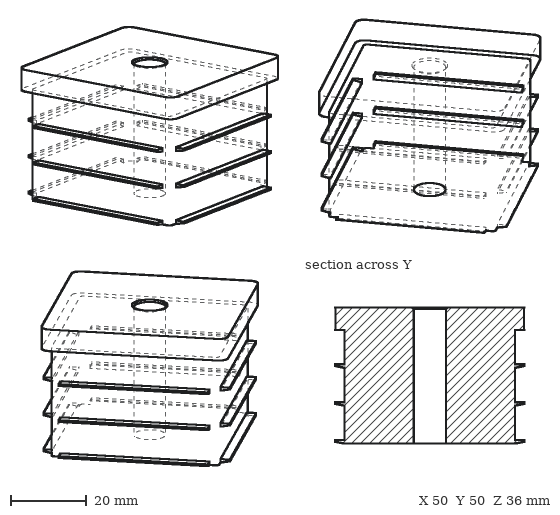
import cadquery as cq

cap_width = 50.0
cap_thickness = 6.0
cap_corner_radius = 2.5

body_width = 45.0
body_height = 30.0
body_corner_radius = 1.0

rib_length = 40.0
rib_root_thickness = 1.0
rib_tip_thickness = 0.5
rib_pitch = 10.0
rib_count = 3

hole_diameter = 8.4
hole_chamfer = 0.5

total_height = body_height + cap_thickness


def rounded_square_block(width, height, corner_radius, base_z):
    """Square block with rounded vertical edges, centred on the Z axis."""
    block = cq.Workplane("XY").workplane(offset=base_z).rect(width, width).extrude(height)
    return block.edges("|Z").fillet(corner_radius)


def rib(base_z):
    """Rib on the +Y side: flat on top, tapering underneath towards its tip."""
    root_y = body_width / 2
    tip_y = cap_width / 2
    inner_y = root_y - body_corner_radius
    top_z = base_z + rib_root_thickness
    profile = [
        (inner_y, base_z),
        (root_y, base_z),
        (tip_y, top_z - rib_tip_thickness),
        (tip_y, top_z),
        (inner_y, top_z),
    ]
    return cq.Workplane("YZ").polyline(profile).close().extrude(rib_length / 2, both=True)


def center_hole():
    """Through hole cutter with a conical lead-in at the cap face."""
    radius = hole_diameter / 2
    profile = [
        (0, 0),
        (radius, 0),
        (radius, total_height - hole_chamfer),
        (radius + hole_chamfer, total_height),
        (0, total_height),
    ]
    return cq.Workplane("XZ").polyline(profile).close().revolve(360, (0, 0, 0), (0, 1, 0))


body = rounded_square_block(body_width, body_height, body_corner_radius, 0)
cap = rounded_square_block(cap_width, cap_thickness, cap_corner_radius, body_height)
plug = body.union(cap)

for level in range(rib_count):
    for angle in (0, 90, 180, 270):
        side_rib = rib(level * rib_pitch).rotate((0, 0, 0), (0, 0, 1), angle)
        plug = plug.union(side_rib)

result = plug.cut(center_hole())